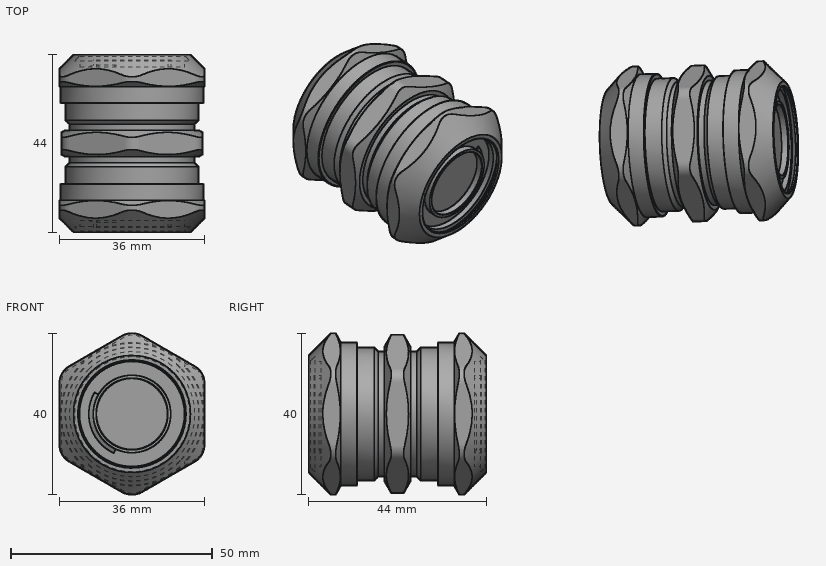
import cadquery as cq
import math


HEX_SIDES = 6
HEX_BEVEL_ANGLE = 30.0
MID_HEX_FLATS = 35.0
MID_HEX_CORNER_RADIUS = 3.8
MID_HEX_HALF_LENGTH = 3.25
MID_HEX_FACE_RADIUS = 33.25 / 2
NUT_HEX_FLATS = 36.0
NUT_HEX_CORNER_RADIUS = 5.0

END_AT = 22.0
END_FACE_RADIUS = 29.0 / 2
NECK_RADIUS = 31.0 / 2
BODY_RADIUS = 33.0 / 2
BODY_START_AT = 4.75
BODY_CHAMFER = BODY_RADIUS - NECK_RADIUS
COLLAR_RADIUS = 35.5 / 2
COLLAR_START_AT = 10.0
COLLAR_CHAMFER_DEPTH = 0.2
COLLAR_CHAMFER_LENGTH = 0.1
NUT_HEX_START_AT = 14.0

MOUTH_RADIUS = 26.5 / 2
MOUTH_CHAMFER = 0.15
MOUTH_LENGTH = 0.45
UNDERCUT_RADIUS = 28.5 / 2
UNDERCUT_FLOOR_AT = 20.5
RECESS_RADIUS = 26.0 / 2
RECESS_FLOOR_AT = 19.0

RING_BORE_RADIUS = 17.6 / 2
RING_BORE_CHAMFER = 0.1
RING_OUTER_RADIUS = 9.6
RING_TOP_AT = 20.7

SKIRT_RADIUS = 10.7
SKIRT_HEIGHT = 0.5
SKIRT_START_ANGLE = 150.0
SKIRT_END_ANGLE = 245.0


def revolved(profile, angle=360.0):
    """Turn (radius, Y) points about the Y axis, from +X towards -Z."""
    return cq.Workplane("XY").polyline(profile).close().revolve(angle, (0, 0, 0), (0, 1, 0))


def sharp_corner_radius(flats):
    """Distance from the axis to the unrounded corners of a hexagon."""
    return flats / 2 / math.cos(math.pi / HEX_SIDES)


def hexagon(flats, corner_radius, start_at, length):
    """Hexagonal bar along +Y with rounded corners, two of them on the Z directions."""
    quarter_turn = 90
    bar = cq.Workplane("XZ", origin=(0, start_at, 0)).transformed(rotate=(0, 0, quarter_turn))
    bar = bar.polygon(HEX_SIDES, 2 * sharp_corner_radius(flats)).extrude(-length)
    return bar.edges("|Y").fillet(corner_radius)


def bevel_length(rise):
    """Length along Y over which a hexagon bevel climbs by the given radius."""
    return rise * math.tan(math.radians(HEX_BEVEL_ANGLE))


def middle_hex():
    """Hexagon at the centre, bevelled on both faces."""
    rim_radius = sharp_corner_radius(MID_HEX_FLATS)
    rim_at = MID_HEX_HALF_LENGTH - bevel_length(rim_radius - MID_HEX_FACE_RADIUS)
    envelope = revolved([
        (0, -MID_HEX_HALF_LENGTH),
        (MID_HEX_FACE_RADIUS, -MID_HEX_HALF_LENGTH),
        (rim_radius, -rim_at),
        (rim_radius, rim_at),
        (MID_HEX_FACE_RADIUS, MID_HEX_HALF_LENGTH),
        (0, MID_HEX_HALF_LENGTH),
    ])
    bar = hexagon(MID_HEX_FLATS, MID_HEX_CORNER_RADIUS, -MID_HEX_HALF_LENGTH, 2 * MID_HEX_HALF_LENGTH)
    return bar.intersect(envelope)


def nut_hex():
    """Hexagon of the +Y nut: bevelled inner face, 45 degree cone up to the end face."""
    rim_radius = sharp_corner_radius(NUT_HEX_FLATS)
    envelope = revolved([
        (0, NUT_HEX_START_AT),
        (COLLAR_RADIUS, NUT_HEX_START_AT),
        (rim_radius, NUT_HEX_START_AT + bevel_length(rim_radius - COLLAR_RADIUS)),
        (rim_radius, END_AT - (rim_radius - END_FACE_RADIUS)),
        (END_FACE_RADIUS, END_AT),
        (0, END_AT),
    ])
    bar = hexagon(NUT_HEX_FLATS, NUT_HEX_CORNER_RADIUS, NUT_HEX_START_AT, END_AT - NUT_HEX_START_AT)
    return bar.intersect(envelope)


def half_body():
    """Turned neck, body and nut collar from the centre to the +Y nut hexagon."""
    return revolved([
        (0, 0),
        (NECK_RADIUS, 0),
        (NECK_RADIUS, BODY_START_AT),
        (BODY_RADIUS, BODY_START_AT + BODY_CHAMFER),
        (BODY_RADIUS, COLLAR_START_AT),
        (COLLAR_RADIUS - COLLAR_CHAMFER_DEPTH, COLLAR_START_AT),
        (COLLAR_RADIUS, COLLAR_START_AT + COLLAR_CHAMFER_LENGTH),
        (COLLAR_RADIUS, NUT_HEX_START_AT),
        (0, NUT_HEX_START_AT),
    ])


def end_recess():
    """Undercut recess of the +Y end."""
    return revolved([
        (0, RECESS_FLOOR_AT),
        (RECESS_RADIUS, RECESS_FLOOR_AT),
        (RECESS_RADIUS, UNDERCUT_FLOOR_AT),
        (UNDERCUT_RADIUS, UNDERCUT_FLOOR_AT),
        (MOUTH_RADIUS, END_AT - MOUTH_LENGTH),
        (MOUTH_RADIUS + MOUTH_CHAMFER, END_AT),
        (0, END_AT),
    ])


def sealing_ring():
    """Raised ring on the +Y recess floor."""
    return revolved([
        (RING_BORE_RADIUS, RECESS_FLOOR_AT),
        (RING_OUTER_RADIUS, RECESS_FLOOR_AT),
        (RING_OUTER_RADIUS, RING_TOP_AT),
        (RING_BORE_RADIUS + RING_BORE_CHAMFER, RING_TOP_AT),
        (RING_BORE_RADIUS, RING_TOP_AT - RING_BORE_CHAMFER),
    ])


def ring_skirt():
    """Conical skirt joining part of the +Y sealing ring to the recess floor."""
    skirt = revolved([
        (RING_BORE_RADIUS, RECESS_FLOOR_AT),
        (SKIRT_RADIUS, RECESS_FLOOR_AT),
        (RING_OUTER_RADIUS, RECESS_FLOOR_AT + SKIRT_HEIGHT),
        (RING_BORE_RADIUS, RECESS_FLOOR_AT + SKIRT_HEIGHT),
    ], SKIRT_END_ANGLE - SKIRT_START_ANGLE)
    return skirt.rotate((0, 0, 0), (0, 1, 0), -SKIRT_END_ANGLE)


half = half_body().union(nut_hex()).cut(end_recess())
half = half.union(sealing_ring().union(ring_skirt()))
result = half.union(half.mirror("XZ")).union(middle_hex())